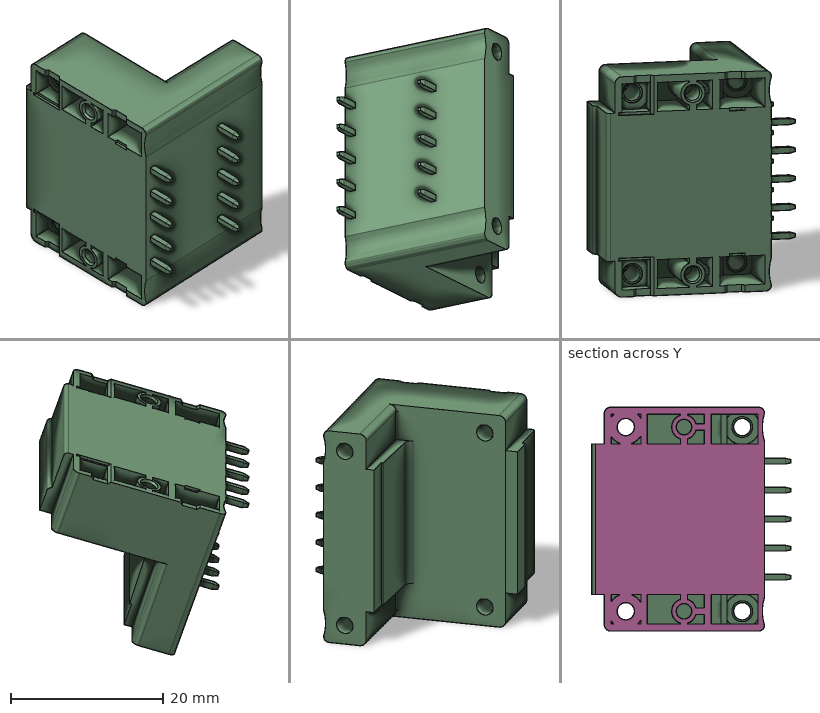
import cadquery as cq
import math

body_length = 22.73
body_depth = 21.9
body_height = 29.44
half_height = body_height / 2
core_half_height = 9.9

foot_start = 1.65
foot_depth = 9.3
column_base_x = 16.7
column_top_x = 16.85
column_base_fillet = 0.25
foot_corner_radius = 0.9
column_corner_radius = 0.9
pin_side_corner_radius = 0.8

flange_step_x = 0.5
flange_step_y = 5.55
flange_depth = 9.2
flange_radius = 0.5
flange_lip_radius = 0.6
core_column_base_x = 15.25
core_column_step_x = 15.5
core_column_top_x = 15.76
core_column_step_y = 18.75
core_column_fillet = 0.85

relief_depth = 0.28
relief_half_height = 1.8

outer_wall = 0.95
pocket_top = half_height - outer_wall
pocket_z_range = (core_half_height, pocket_top)
screw_pocket = (2.6, 6.47)
post_pocket = (7.33, 14.8)
column_pocket = (15.76, 21.85)
screw_pocket_depth = 2.2
deep_pocket_depth = 7.5

screw_pitch = 15.3
screw_z = 12.1
screw_x = 4.5
far_screw_x = screw_x + screw_pitch
hole_radius = 1.12
counterbore_radius = 1.37
counterbore_depth = 0.3
seat_radius = 2.3
seat_height = 0.5
ledge_start = 17.0
ledge_end = 17.8
ledge_height = 0.5

post_x = screw_x + screw_pitch / 2
post_radius = 1.63
post_bore_radius = 1.0
post_bore_depth = 5.0
post_lead_in_width = 0.2
post_lead_in_depth = 0.38
post_rib_width = 0.95
side_rib_width = 0.87
side_rib_drop = 2.0

notch_depth = 0.37
notch_slope = 0.35
slot_width = 0.36
first_notch = (4.2, 6.86)
second_notch = (16.5, 19.15)
first_slot_start = 2.15
second_slot_start = 17.1

pin_count = 5
pin_pitch = 3.81
pin_row_y = (1.2, 13.9)
pin_width = 0.8
pin_tip_width = 0.45
pin_tip_length = 0.75
pin_end_x = 26.2
pin_embed = 1.0


def box(x_range, y_range, z_range):
    """Box from its lower and upper limits on each axis."""
    size = [high - low for low, high in (x_range, y_range, z_range)]
    corner = (x_range[0], y_range[0], z_range[0])
    return cq.Workplane("XY").box(*size, centered=False).translate(corner)


def rod(x, radius, start_y, end_y):
    """Round rod along Y at the height of the screw holes."""
    plane = cq.Plane(origin=(x, start_y, screw_z), xDir=(1, 0, 0), normal=(0, 1, 0))
    return cq.Workplane(plane).circle(radius).extrude(end_y - start_y)


def upright_prism(points, height):
    """Prism along Z, centred on Z = 0."""
    return cq.Workplane("XY").polyline(points).close().extrude(height / 2, both=True)


def end_body():
    """L-shaped body over the full height, a foot block joined to a drafted column."""
    foot = box((foot_start, body_length), (0, foot_depth), (-half_height, half_height))
    foot = foot.edges("|Y and <X").fillet(foot_corner_radius)
    foot = foot.edges("|Y and >X").fillet(pin_side_corner_radius)
    draft_slope = (column_top_x - column_base_x) / (body_depth - foot_depth)
    column_outline = [
        (column_base_x - draft_slope * foot_depth, 0),
        (body_length, 0),
        (body_length, body_depth),
        (column_top_x, body_depth),
    ]
    column = upright_prism(column_outline, body_height)
    column = column.edges("|Y and >X").fillet(pin_side_corner_radius)
    column = column.faces("<X").edges("#Z").fillet(column_corner_radius)
    fillet_strip = (
        cq.Workplane("XY")
        .moveTo(column_base_x + column_base_fillet, foot_depth)
        .lineTo(column_base_x - column_base_fillet, foot_depth)
        .radiusArc((column_base_x, foot_depth + column_base_fillet), -column_base_fillet)
        .lineTo(column_base_x + column_base_fillet, foot_depth + column_base_fillet)
        .close()
        .extrude(half_height - column_corner_radius, both=True)
    )
    return foot.union(column).union(fillet_strip)


def core_body():
    """Central body with the back flange and the forward column face."""
    arc_dip = flange_radius * (1 - math.sqrt(0.5))
    upper_round_y = flange_step_y + flange_radius
    base_round_x = flange_step_x + flange_radius
    return (
        cq.Workplane("XY")
        .moveTo(base_round_x, 0)
        .lineTo(body_length, 0)
        .lineTo(body_length, body_depth)
        .lineTo(core_column_top_x, body_depth)
        .lineTo(core_column_top_x, core_column_step_y)
        .lineTo(core_column_step_x, core_column_step_y)
        .lineTo(core_column_base_x, foot_depth + core_column_fillet)
        .radiusArc((core_column_base_x - core_column_fillet, foot_depth), core_column_fillet)
        .lineTo(foot_start, foot_depth)
        .lineTo(foot_start, flange_depth)
        .lineTo(0, flange_depth)
        .lineTo(0, upper_round_y)
        .radiusArc((flange_step_x, flange_step_y), -flange_lip_radius)
        .lineTo(flange_step_x, flange_radius)
        .threePointArc((flange_step_x + arc_dip, arc_dip), (base_round_x, 0))
        .close()
        .extrude(core_half_height, both=True)
    )


def pin_side_relief():
    """Shallow arc cut into the pin side face of the upper end block."""
    return (
        cq.Workplane("XZ")
        .moveTo(body_length, screw_z - relief_half_height)
        .threePointArc(
            (body_length - relief_depth, screw_z),
            (body_length, screw_z + relief_half_height),
        )
        .close()
        .extrude(-body_depth)
    )


def pocket(x_range, depth):
    """Rectangular pocket in the upper end block."""
    return box(x_range, (0, depth), pocket_z_range)


def screw_hole(x, floor_y):
    """Hole from a pocket floor to the far side, counterbored at the floor."""
    hole = rod(x, hole_radius, floor_y, body_depth)
    return hole.union(rod(x, counterbore_radius, floor_y, floor_y + counterbore_depth))


def seat_recess(x_range, screw_center, depth):
    """Pocket corners sunk around the round screw seat."""
    y_range = (depth, depth + seat_height)
    seat = rod(screw_center, seat_radius, *y_range)
    return box(x_range, y_range, pocket_z_range).cut(seat)


def sloped_cut(start, end, start_slope, z_range):
    """Shallow cut in the open face with a sloped far end and an optional sloped near end."""
    outline = [
        (start, 0),
        (end, 0),
        (end - notch_slope, notch_depth),
        (start + start_slope, notch_depth),
    ]
    bottom, top = z_range
    return cq.Workplane("XY").workplane(offset=bottom).polyline(outline).close().extrude(top - bottom)


def wire_notch(x_range, slot_start):
    """Notch over the outer wall and the pocket, with a slot along the edge of the core."""
    start, end = x_range
    notch = sloped_cut(start, end, notch_slope, (core_half_height, half_height))
    slot = sloped_cut(slot_start, end, 0, (core_half_height - slot_width, core_half_height))
    return notch.union(slot)


def post():
    """Hollow post with its ribs standing in the middle pocket."""
    half_rib = post_rib_width / 2
    half_side = side_rib_width / 2
    cross_rib = box(
        (post_x - half_rib, post_x + half_rib),
        (0, deep_pocket_depth),
        pocket_z_range,
    )
    side_rib = box(
        (post_x, post_pocket[1]),
        (side_rib_drop, deep_pocket_depth),
        (screw_z - half_side, screw_z + half_side),
    )
    lead_in = cq.Workplane(
        cq.Solid.makeCone(
            post_bore_radius + post_lead_in_width,
            post_bore_radius,
            post_lead_in_depth,
            cq.Vector(post_x, 0, screw_z),
            cq.Vector(0, 1, 0),
        )
    )
    solid = rod(post_x, post_radius, 0, deep_pocket_depth).union(cross_rib).union(side_rib)
    solid = solid.cut(rod(post_x, post_bore_radius, 0, post_bore_depth))
    return solid.cut(lead_in)


def column_pocket_cut():
    """Pocket under the column with a raised ledge beside the round screw seat."""
    floor_y = deep_pocket_depth
    ledge = box((ledge_start, ledge_end), (floor_y - ledge_height, floor_y), pocket_z_range)
    seat_floor = (ledge_end, column_pocket[1])
    return (
        pocket(column_pocket, floor_y)
        .cut(ledge)
        .union(seat_recess(seat_floor, far_screw_x, floor_y))
    )


def pin(y, z):
    """Square pin along X with a tapered tip."""
    shank_end = pin_end_x - pin_tip_length
    shank_start = body_length - pin_embed
    shank = box(
        (shank_start, shank_end),
        (y - pin_width / 2, y + pin_width / 2),
        (z - pin_width / 2, z + pin_width / 2),
    )
    tip = (
        cq.Workplane("YZ")
        .workplane(offset=shank_end)
        .center(y, z)
        .rect(pin_width, pin_width)
        .workplane(offset=pin_tip_length)
        .rect(pin_tip_width, pin_tip_width)
        .loft()
    )
    return shank.union(tip)


end_cuts = [
    pin_side_relief(),
    pocket(screw_pocket, screw_pocket_depth),
    seat_recess(screw_pocket, screw_x, screw_pocket_depth),
    pocket(post_pocket, deep_pocket_depth).cut(post()),
    column_pocket_cut(),
    screw_hole(screw_x, screw_pocket_depth),
    screw_hole(far_screw_x, deep_pocket_depth),
    wire_notch(first_notch, first_slot_start),
    wire_notch(second_notch, second_slot_start),
]

result = end_body().union(core_body())
for cutter in end_cuts:
    result = result.cut(cutter).cut(cutter.mirror("XY"))
for row in pin_row_y:
    for index in range(pin_count):
        pin_z = (index - (pin_count - 1) / 2) * pin_pitch
        result = result.union(pin(row, pin_z))